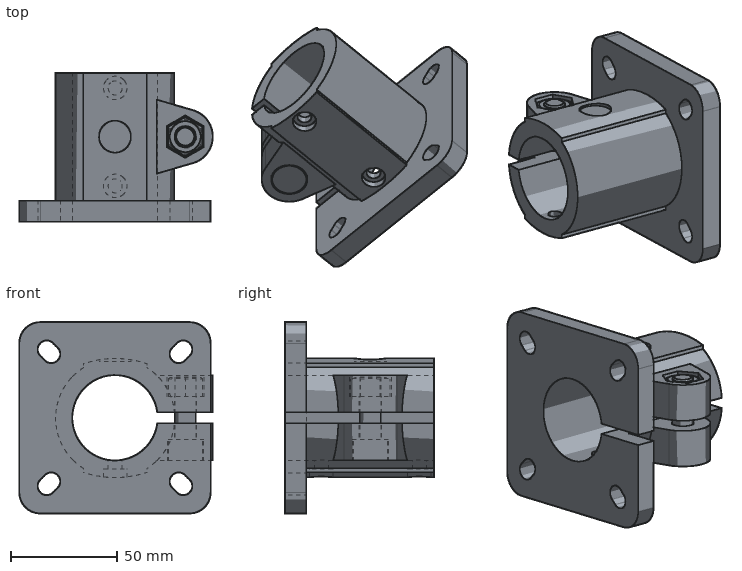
import cadquery as cq
import math

plate_side = 90.0
plate_thickness = 10.0
plate_corner_radius = 10.0

total_length = 70.0
tube_radius = 28.0
bore_radius = 20.0
slit_width = 5.0

band_half_width = 15.0
band_edge_height = 25.5
band_crown_height = tube_radius

slot_width = 8.4
slot_center_offset = 31.0
slot_end_spacing = 3.0

middle_y = plate_thickness + (total_length - plate_thickness) / 2
lug_half_height = 20.0
lug_tip_radius = 13.0
lug_taper = math.radians(16.0)
bolt_x = 33.0

spot_diameter = 15.0
spot_floor_height = 26.5
screw_hole_diameter = 6.6
screw_counterbore_diameter = 11.0
screw_counterbore_depth = 4.0
screw_spacing = 46.0

bolt_diameter = 10.0
bolt_hole_diameter = 10.5
bolt_tip_diameter = 8.38
bolt_tip_chamfer = (bolt_diameter - bolt_tip_diameter) / 2
bolt_tip_height = 20.0
head_diameter = 16.0
head_height = 10.0
head_recess_diameter = 17.0
nut_width = 16.0
nut_height = 9.0
nut_face_diameter = 14.5
nut_rim_diameter = 15.6
nut_rim_angle = math.radians(30.0)
nut_corner_angle = math.radians(18.0)
nut_recess_width = 17.2
nut_seat_height = 10.0
head_seat_height = head_height - lug_half_height


def cylinder_z(diameter, z_low, z_high, x=0.0, y=middle_y):
    """Upright cylinder between two heights."""
    blank = cq.Workplane("XY", origin=(x, y, z_low))
    return blank.circle(diameter / 2).extrude(z_high - z_low)


def hexagon_z(across_flats, z_low, z_high):
    """Upright hexagonal prism on the bolt axis, with its corners towards +Y and -Y."""
    corner_diameter = across_flats / math.cos(math.pi / 6)
    prism = cq.Workplane("XY").polygon(6, corner_diameter).extrude(z_high - z_low)
    return prism.rotate((0, 0, 0), (0, 0, 1), 90).translate((bolt_x, middle_y, z_low))


def depth_plane():
    """Sketch plane on Y = 0 with its normal along -Y, so negative extrusions run towards +Y."""
    return cq.Workplane("XZ")


def make_plate():
    plate = depth_plane().rect(plate_side, plate_side).extrude(-plate_thickness)
    return plate.edges("|Y").fillet(plate_corner_radius)


def make_tube():
    tube = depth_plane().circle(tube_radius).extrude(-total_length)
    bands = (
        depth_plane()
        .moveTo(-band_half_width, -band_edge_height)
        .threePointArc((0, -band_crown_height), (band_half_width, -band_edge_height))
        .lineTo(band_half_width, band_edge_height)
        .threePointArc((0, band_crown_height), (-band_half_width, band_edge_height))
        .close()
        .extrude(-total_length)
    )
    return tube.union(bands)


def make_lug():
    """Tapered ear whose flanks are tangent to the round tip."""
    tangent_x = bolt_x + lug_tip_radius * math.sin(lug_taper)
    tangent_y = lug_tip_radius * math.cos(lug_taper)
    root_y = tangent_y + tangent_x * math.tan(lug_taper)
    return (
        cq.Workplane("XY", origin=(0, middle_y, -lug_half_height))
        .moveTo(0, -root_y)
        .lineTo(tangent_x, -tangent_y)
        .threePointArc((bolt_x + lug_tip_radius, 0), (tangent_x, tangent_y))
        .lineTo(0, root_y)
        .close()
        .extrude(2 * lug_half_height)
    )


def mounting_slot(angle):
    """Cutter for one radial slot: straight flanks with round ends."""
    radius = slot_center_offset * math.sqrt(2)
    slot = depth_plane().center(radius, 0).rect(slot_end_spacing, slot_width).extrude(-plate_thickness)
    for side in (-1, 1):
        end_x = radius + side * slot_end_spacing / 2
        end = depth_plane().center(end_x, 0).circle(slot_width / 2).extrude(-plate_thickness)
        slot = slot.union(end)
    return slot.rotate((0, 0, 0), (0, 1, 0), angle)


def make_housing():
    housing = make_plate().union(make_tube()).union(make_lug())
    housing = housing.cut(depth_plane().circle(bore_radius).extrude(-total_length))
    slit = cq.Workplane("XY").box(plate_side, total_length, slit_width, centered=(False, False, True))
    housing = housing.cut(slit)
    for angle in (45, 135, 225, 315):
        housing = housing.cut(mounting_slot(angle))

    housing = housing.cut(cylinder_z(spot_diameter, spot_floor_height, tube_radius))

    counterbore_top = screw_counterbore_depth - tube_radius
    for side in (-1, 1):
        y = middle_y + side * screw_spacing / 2
        housing = housing.cut(cylinder_z(screw_hole_diameter, -tube_radius, 0, y=y))
        housing = housing.cut(cylinder_z(screw_counterbore_diameter, -tube_radius, counterbore_top, y=y))

    housing = housing.cut(cylinder_z(bolt_hole_diameter, -lug_half_height, lug_half_height, x=bolt_x))
    housing = housing.cut(hexagon_z(nut_recess_width, nut_seat_height, lug_half_height))
    return housing.cut(cylinder_z(head_recess_diameter, -lug_half_height, head_seat_height, x=bolt_x))


def make_bolt():
    shank = cylinder_z(bolt_diameter, head_seat_height, bolt_tip_height, x=bolt_x)
    shank = shank.faces(">Z").chamfer(bolt_tip_chamfer)
    return shank.union(cylinder_z(head_diameter, -lug_half_height, head_seat_height, x=bolt_x))


def make_nut():
    """Hexagonal nut whose upper end is turned to two cones, the outer one shallower."""
    face_radius = nut_face_diameter / 2
    rim_radius = nut_rim_diameter / 2
    corner_radius = nut_width / 2 / math.cos(math.pi / 6)
    rim_height = nut_height - (rim_radius - face_radius) * math.tan(nut_rim_angle)
    corner_height = rim_height - (corner_radius - rim_radius) * math.tan(nut_corner_angle)
    turned_blank = (
        cq.Workplane("XZ")
        .moveTo(0, 0)
        .lineTo(corner_radius, 0)
        .lineTo(corner_radius, corner_height)
        .lineTo(rim_radius, rim_height)
        .lineTo(face_radius, nut_height)
        .lineTo(0, nut_height)
        .close()
        .revolve(360, (0, 0, 0), (0, 1, 0))
        .translate((bolt_x, middle_y, nut_seat_height))
    )
    nut_top = nut_seat_height + nut_height
    nut = hexagon_z(nut_width, nut_seat_height, nut_top).intersect(turned_blank)
    return nut.cut(cylinder_z(bolt_diameter, nut_seat_height, nut_top, x=bolt_x))


housing = make_housing()
bolt = make_bolt()
nut = make_nut()

result = cq.Compound.makeCompound([body.solids().val() for body in (housing, bolt, nut)])